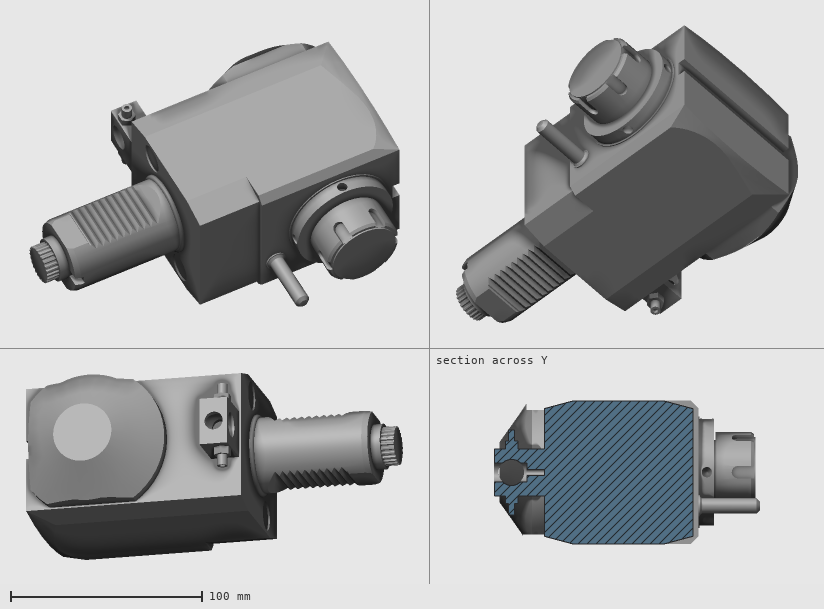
import math

import cadquery as cq


body_half_width = 39.0
body_length = 116.0
body_half_height = 37.5
side_chamfer_width = 15.0
side_chamfer_drop = 4.0
spindle_face_x = 42.0
spindle_face_start = 35.0
edge_height = body_half_height - side_chamfer_drop
chamfer_x = body_half_width - side_chamfer_width
head_chamfer_x = spindle_face_x - side_chamfer_drop
slope_left_y = 103.8
slope_right_y = 102.6
slope_rise = (-8.7, 108.3)
slope_peak = (12.5, 112.4)
slope_fall = (26.4, 110.1)
slope_rear_height = 36.6
rear_slot_width = 10.0
rear_slot_depth = 4.0
bore_x = 16.0
bore_z = 28.0
bore_diameter = 15.3
bore_depth = 1.0

shank_radius = 20.0
shank_length = 63.0
shank_end_chamfer_length = 3.0
shank_end_chamfer_depth = 1.0
collar_radius = 21.7
collar_length = 2.2
collar_rounding = 1.7
flat_height = 17.0
tooth_pitch = 4.0
valley_height = 14.0
serration_start = 5.3
first_valley = 12.0
valley_count = 10
flat_start = 51.2
drive_slot_width = 5.5
drive_slot_floor = 12.0
drive_slot_depth = 5.0
drive_pocket_width = 4.0
drive_pocket_end_x = 15.2
drive_pocket_depth = 2.0
spigot_radius = 12.0
spigot_length = 5.0
spline_length = 7.0
spline_tip_radius = 10.3
spline_root_radius = 9.5
spline_teeth = 24

spindle_y = 80.0
seat_radius = 29.2
seat_length = 0.6
flange_radius = 28.0
flange_end = 50.0
neck_radius = 17.0
nut_start = 51.0
nut_end = 71.8
nut_radius = 21.0
nut_chamfer_start = 69.5
nut_shoulder_x = 71.0
nut_shoulder_radius = 20.0
nut_slot_count = 6
nut_slot_width = 6.4
nut_slot_start = 59.4
nut_slot_floor = 18.4
pin_hole_diameter = 5.4
pin_hole_x = 46.4
pin_hole_depth = 5.0
pin_hole_tip_depth = 2.7
pin_hole_count = 4

cover_radius = 40.0
cover_rim_x = -45.2
cover_end_x = -62.2
cover_end_radius = 15.7
cover_flat_height = 32.6
cover_rear_y = 112.0
top_flat_x = -48.0
bottom_flat_x = -49.8

pin_y = 43.0
pin_z = -17.6
pin_radius = 4.0
pin_end_x = 74.14
pin_chamfer = 1.7
pin_collar_radius = 5.6
pin_collar_end = 42.7
pin_cone_radius = 5.0
pin_cone_end = 43.9

block_end_x = -65.0
block_front_y = 1.2
block_depth = 15.0
block_height = 25.0
port_x = -56.0
port_diameter = 13.4
side_port_y = 8.5
side_port_diameter = 9.7
side_port_depth = 17.0
feed_hole_diameter = 3.0
nipple_y = 6.0
nipple_hex_width = 8.0
nipple_hex_height = 4.0
nipple_radius = 2.7
nipple_height = 9.8
nipple_socket_width = 3.0
nipple_socket_depth = 2.0

overlap = 1.0


def box(x_range, y_range, z_range):
    size = [high - low for low, high in (x_range, y_range, z_range)]
    return cq.Workplane("XY").box(*size, centered=False).translate((x_range[0], y_range[0], z_range[0]))


def cylinder(start, direction, radius, length):
    return cq.Workplane(cq.Solid.makeCylinder(radius, length, cq.Vector(*start), cq.Vector(*direction)))


def turned_about_x(profile, axis_y, axis_z=0):
    """Revolve (x, radius) points about an axis parallel to X."""
    outline = cq.Workplane("XY").polyline(profile).close()
    return outline.revolve(360, (0, 0, 0), (1, 0, 0)).translate((0, axis_y, axis_z))


def rear_slope_cutter():
    """Wedge above the curved slope at the top rear edge of the body."""
    top = body_half_height
    rear = body_length
    rear_left = cq.Vector(-body_half_width, rear, edge_height)
    rear_peak = cq.Vector(slope_peak[0], rear, slope_rear_height)
    rear_right = cq.Vector(spindle_face_x, rear, edge_height)
    top_left = cq.Vector(-chamfer_x, slope_left_y, top)
    top_middle = [cq.Vector(x, y, top) for x, y in (slope_rise, slope_peak, slope_fall)]
    top_right = cq.Vector(head_chamfer_x, slope_right_y, top)
    corner_left = cq.Vector(-body_half_width, rear, top)
    corner_right = cq.Vector(spindle_face_x, rear, top)

    line = cq.Edge.makeLine
    rear_edge = cq.Edge.makeSpline([rear_left, rear_peak, rear_right])
    top_edge = cq.Edge.makeSpline([top_left, *top_middle, top_right])
    left_rise = line(rear_left, corner_left)
    right_rise = line(rear_right, corner_right)
    left_run = line(corner_left, top_left)
    right_run = line(corner_right, top_right)
    ridge = line(corner_left, corner_right)
    left_diagonal = line(rear_left, top_left)
    right_diagonal = line(rear_right, top_right)

    boundaries = [
        [rear_edge, right_rise, ridge, left_rise],
        [top_edge, right_run, ridge, left_run],
        [left_rise, left_run, left_diagonal],
        [right_rise, right_run, right_diagonal],
    ]
    faces = [cq.Face.makeFromWires(cq.Wire.assembleEdges(edges)) for edges in boundaries]
    faces.append(cq.Face.makeRuledSurface(rear_edge, top_edge))
    return cq.Workplane(cq.Solid.makeSolid(cq.Shell.makeShell(faces)))


def body_prism(right_x, right_chamfer_x, start, end):
    """Chamfered body cross-section, extruded from y = start to y = end."""
    outline = [
        (-body_half_width, edge_height),
        (-chamfer_x, body_half_height),
        (right_chamfer_x, body_half_height),
        (right_x, edge_height),
        (right_x, -edge_height),
        (right_chamfer_x, -body_half_height),
        (-chamfer_x, -body_half_height),
        (-body_half_width, -edge_height),
    ]
    return cq.Workplane("XZ", origin=(0, start, 0)).polyline(outline).close().extrude(start - end)


def make_body():
    front = body_prism(body_half_width, chamfer_x, 0, spindle_face_start)
    head = body_prism(spindle_face_x, head_chamfer_x, spindle_face_start, body_length)
    body = front.union(head)
    slope = rear_slope_cutter()
    body = body.cut(slope).cut(slope.mirror("XY"))
    body = body.cut(box(
        (-body_half_width, spindle_face_x),
        (body_length - rear_slot_depth, body_length),
        (-rear_slot_width / 2, rear_slot_width / 2),
    ))
    for side in (-1, 1):
        start = (side * bore_x, 0, -side * bore_z)
        body = body.cut(cylinder(start, (0, 1, 0), bore_diameter / 2, bore_depth))
    return body


def serration_cutter():
    """Everything above the 90 degree serrations and the end flat of the shank."""
    crest_height = valley_height + tooth_pitch / 2
    outline = [(-serration_start, shank_radius)]
    for index in range(valley_count):
        valley = first_valley + index * tooth_pitch
        outline.append((-(valley - tooth_pitch / 2), crest_height))
        outline.append((-valley, valley_height))
    last_crest = first_valley + (valley_count - 0.5) * tooth_pitch
    outline.append((-last_crest, crest_height))
    outline.append((-(flat_start - (flat_height - crest_height) / 2), crest_height))
    outline.append((-flat_start, flat_height))
    outline.append((-shank_length, flat_height))
    outline.append((-shank_length, shank_radius))
    return cq.Workplane("YZ").polyline(outline).close().extrude(shank_radius, both=True)


def make_spline_end():
    tooth_angle = 2 * math.pi / spline_teeth
    tooth_shape = [
        (spline_root_radius, 0.0),
        (spline_root_radius, 0.3),
        (spline_tip_radius, 0.5),
        (spline_tip_radius, 0.8),
    ]
    outline = []
    for tooth in range(spline_teeth):
        for radius, fraction in tooth_shape:
            angle = (tooth + fraction) * tooth_angle
            outline.append((radius * math.cos(angle), radius * math.sin(angle)))
    start = -(shank_length + spigot_length)
    plane = cq.Workplane("XZ", origin=(0, start + overlap, 0))
    return plane.polyline(outline).close().extrude(spline_length + overlap)


def make_shank():
    profile = [
        (0, overlap),
        (shank_radius, overlap),
        (shank_radius, -(shank_length - shank_end_chamfer_length)),
        (shank_radius - shank_end_chamfer_depth, -shank_length),
        (0, -shank_length),
    ]
    shank = cq.Workplane("XY").polyline(profile).close().revolve(360, (0, 0, 0), (0, 1, 0))
    serrations = serration_cutter()
    shank = shank.cut(serrations).cut(serrations.mirror("XY"))
    slot_bottom = -shank_length + drive_slot_depth
    shank = shank.cut(box(
        (drive_slot_floor, shank_radius),
        (-shank_length, slot_bottom),
        (-drive_slot_width / 2, drive_slot_width / 2),
    ))
    shank = shank.cut(box(
        (drive_slot_floor, drive_pocket_end_x),
        (slot_bottom, slot_bottom + drive_pocket_depth),
        (-drive_pocket_width / 2, drive_pocket_width / 2),
    ))
    collar = cylinder((0, 0, 0), (0, -1, 0), collar_radius, collar_length)
    collar = collar.faces("<Y").edges().fillet(collar_rounding)
    spigot_start = (0, -shank_length + overlap, 0)
    spigot = cylinder(spigot_start, (0, -1, 0), spigot_radius, spigot_length + overlap)
    return shank.union(collar).union(spigot).union(make_spline_end())


def nut_slot():
    """Wrench slot in the nut, open at its end face and rounded at its inner end."""
    half_width = nut_slot_width / 2
    end_center = nut_slot_start + half_width
    z_range = (nut_slot_floor, nut_radius)
    straight = box((end_center, nut_shoulder_x), (-half_width, half_width), z_range)
    depth = nut_radius - nut_slot_floor
    rounded_end = cylinder((end_center, 0, nut_slot_floor), (0, 0, 1), half_width, depth)
    return straight.union(rounded_end)


def around_spindle(shape, angle):
    """Place a shape made about the X axis at an angle about the spindle axis."""
    return shape.rotate((0, 0, 0), (1, 0, 0), angle).translate((0, spindle_y, 0))


def make_spindle_nose():
    seat_end = spindle_face_x + seat_length
    profile = [
        (spindle_face_x - overlap, 0),
        (spindle_face_x - overlap, seat_radius),
        (seat_end, seat_radius),
        (seat_end, flange_radius),
        (flange_end, flange_radius),
        (flange_end, neck_radius),
        (nut_start, neck_radius),
        (nut_start, nut_radius),
        (nut_chamfer_start, nut_radius),
        (nut_shoulder_x, nut_shoulder_radius),
        (nut_shoulder_x, nut_slot_floor),
        (nut_end, nut_slot_floor),
        (nut_end, 0),
    ]
    nose = turned_about_x(profile, spindle_y)
    slot = nut_slot()
    for index in range(nut_slot_count):
        angle = 90 + index * 360 / nut_slot_count
        nose = nose.cut(around_spindle(slot, angle))
    hole_floor = (pin_hole_x, 0, flange_radius - pin_hole_depth)
    hole_radius = pin_hole_diameter / 2
    hole = cylinder(hole_floor, (0, 0, 1), hole_radius, pin_hole_depth)
    tip = cq.Solid.makeCone(hole_radius, 0, pin_hole_tip_depth, cq.Vector(*hole_floor), cq.Vector(0, 0, -1))
    hole = hole.union(cq.Workplane(tip))
    for index in range(pin_hole_count):
        nose = nose.cut(around_spindle(hole, index * 360 / pin_hole_count))
    return nose


def make_cover():
    inner_x = -body_half_width + overlap
    profile = [
        (inner_x, 0),
        (inner_x, cover_radius),
        (cover_rim_x, cover_radius),
        (cover_end_x, cover_end_radius),
        (cover_end_x, 0),
    ]
    cover = turned_about_x(profile, spindle_y)
    y_range = (spindle_y - cover_radius, spindle_y + cover_radius)
    z_range = (-cover_radius, cover_radius)
    cover = cover.cut(box((top_flat_x, inner_x), y_range, (cover_flat_height, cover_radius)))
    cover = cover.cut(box((bottom_flat_x, inner_x), y_range, (-cover_radius, -cover_flat_height)))
    return cover.cut(box((cover_end_x, inner_x), (cover_rear_y, y_range[1]), z_range))


def make_pin():
    start = spindle_face_x - overlap
    profile = [
        (start, 0),
        (start, pin_collar_radius),
        (pin_collar_end, pin_collar_radius),
        (pin_collar_end, pin_cone_radius),
        (pin_cone_end, pin_radius),
        (pin_end_x - pin_chamfer, pin_radius),
        (pin_end_x, pin_radius - pin_chamfer),
        (pin_end_x, 0),
    ]
    return turned_about_x(profile, pin_y, pin_z)


def make_nipple():
    """Coolant nipple standing on the upper face of the block."""
    base = cq.Workplane("XY", origin=(port_x, nipple_y, block_height / 2 - overlap))
    hex_corners = nipple_hex_width / math.cos(math.pi / 6)
    nipple = base.polygon(6, hex_corners).extrude(nipple_hex_height + overlap)
    nipple = nipple.union(base.circle(nipple_radius).extrude(nipple_height + overlap))
    socket = nipple.faces(">Z").workplane(origin=(port_x, nipple_y, 0))
    return socket.polygon(6, nipple_socket_width).cutBlind(-nipple_socket_depth)


def make_coolant_block():
    half_height = block_height / 2
    block = box(
        (block_end_x, -body_half_width + overlap),
        (block_front_y, block_front_y + block_depth),
        (-half_height, half_height),
    )
    block = block.cut(cylinder((port_x, block_front_y, 0), (0, 1, 0), port_diameter / 2, block_depth))
    side_start = (block_end_x, side_port_y, 0)
    block = block.cut(cylinder(side_start, (1, 0, 0), side_port_diameter / 2, side_port_depth))
    feed_length = -body_half_width - block_end_x
    block = block.cut(cylinder(side_start, (1, 0, 0), feed_hole_diameter / 2, feed_length))
    nipple = make_nipple()
    return block.union(nipple).union(nipple.mirror("XY"))


result = make_body()
for component in (make_shank(), make_spindle_nose(), make_cover(), make_pin(), make_coolant_block()):
    result = result.union(component)